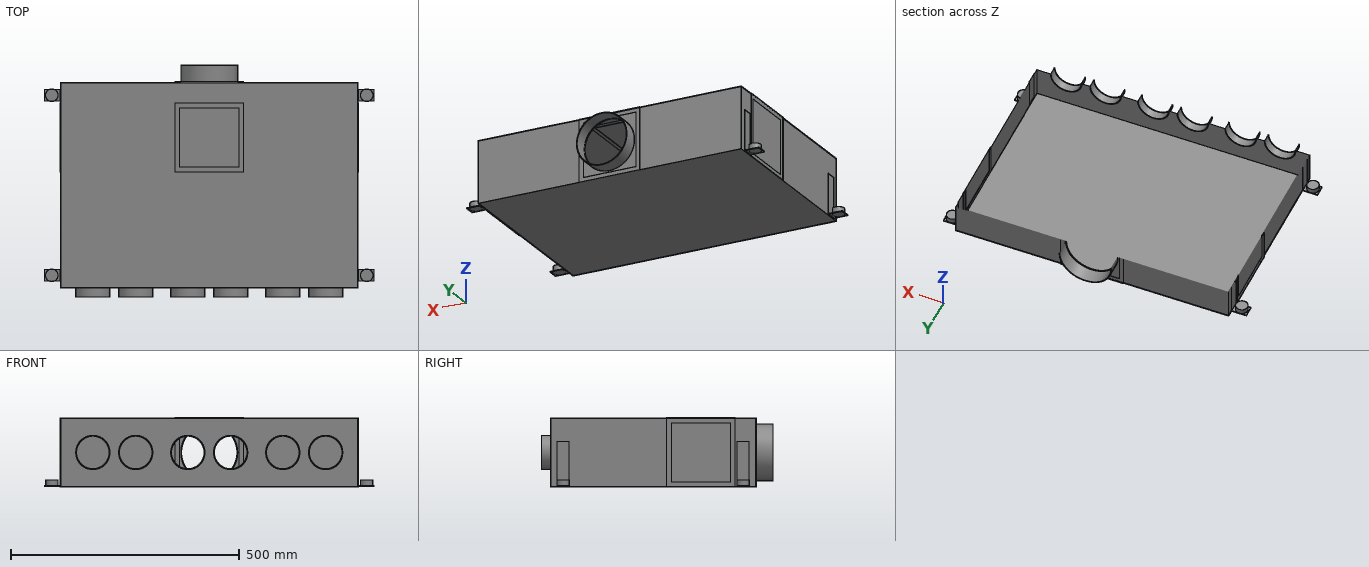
import cadquery as cq
TOTAL_WIDTH = 723.0
HOUSING_WIDTH = 651.5
HOUSING_DEPTH = 450.5
HOUSING_HEIGHT = 150.5
SHEET = 1.0
PORT_HEIGHT = HOUSING_HEIGHT / 2
SIDE_X = HOUSING_WIDTH / 2

PANEL_SIZE = HOUSING_HEIGHT
PANEL_THICKNESS = 1.5
OPENING_SIZE = 130.0
PANEL_FROM_BACK = 121.0
PANEL_Y = HOUSING_DEPTH - PANEL_FROM_BACK

TUBE_WALL = 1.9
DUCT_DIAMETER = 125.0
DUCT_BORE = DUCT_DIAMETER - 2 * TUBE_WALL
DUCT_LENGTH = 36.0

SPIGOT_DIAMETER = 75.0
SPIGOT_BORE = SPIGOT_DIAMETER - 2 * TUBE_WALL
SPIGOT_LENGTH = 20.0
PAIR_SPACING = 208.0
PITCH_IN_PAIR = 94.0
PAIR_COUNT = 3
SPIGOT_X = [
    (pair - (PAIR_COUNT - 1) / 2) * PAIR_SPACING + side * PITCH_IN_PAIR / 2
    for pair in range(PAIR_COUNT)
    for side in (-1, 1)
]

FOOT_WIDTH = 26.0
FOOT_HEIGHT = 98.0
FOOT_THICKNESS = 2.0
FOOT_REACH = (TOTAL_WIDTH - HOUSING_WIDTH) / 2
FOOT_BOTTOM = SHEET
FOOT_Y = [27.5, HOUSING_DEPTH - 28.0]
BUFFER_DIAMETER = 27.5
BUFFER_HEIGHT = 12.0
BUFFER_FROM_SIDE = 19.5


def block(size_x, size_y, size_z, centre):
    return cq.Workplane("XY").box(size_x, size_y, size_z).translate(centre)


def rod(diameter, x, y_start, y_end):
    """A cylinder along Y, at the height of the ports."""
    plane = cq.Plane(origin=(x, y_start, PORT_HEIGHT), xDir=(1, 0, 0), normal=(0, 1, 0))
    return cq.Workplane(plane).circle(diameter / 2).extrude(y_end - y_start)


def make_shell():
    """The closed box with an opening in its top, back, left and right walls."""
    centre = (0, HOUSING_DEPTH / 2, HOUSING_HEIGHT / 2)
    shell = block(HOUSING_WIDTH, HOUSING_DEPTH, HOUSING_HEIGHT, centre).cut(
        block(
            HOUSING_WIDTH - 2 * SHEET,
            HOUSING_DEPTH - 2 * SHEET,
            HOUSING_HEIGHT - 2 * SHEET,
            centre,
        )
    )
    through_sides = block(2 * HOUSING_WIDTH, OPENING_SIZE, OPENING_SIZE, (0, PANEL_Y, PORT_HEIGHT))
    through_top = block(OPENING_SIZE, OPENING_SIZE, 2 * SHEET, (0, PANEL_Y, HOUSING_HEIGHT))
    through_back = block(OPENING_SIZE, 2 * SHEET, OPENING_SIZE, (0, HOUSING_DEPTH, PORT_HEIGHT))
    return shell.cut(through_sides).cut(through_top).cut(through_back)


def add_panels(housing):
    """Blank panels on the top and both sides, and the panel that carries the duct on the back."""
    half = PANEL_THICKNESS / 2
    top_centre = (0, PANEL_Y, HOUSING_HEIGHT + half)
    back_centre = (0, HOUSING_DEPTH + half, PORT_HEIGHT)
    housing = housing.union(block(PANEL_SIZE, PANEL_SIZE, PANEL_THICKNESS, top_centre))
    housing = housing.union(block(PANEL_SIZE, PANEL_THICKNESS, PANEL_SIZE, back_centre))
    for side in (-1, 1):
        side_centre = (side * (SIDE_X + half), PANEL_Y, PORT_HEIGHT)
        housing = housing.union(block(PANEL_THICKNESS, PANEL_SIZE, PANEL_SIZE, side_centre))
    return housing


def add_duct(housing):
    panel_face = HOUSING_DEPTH + PANEL_THICKNESS
    duct_end = panel_face + DUCT_LENGTH
    housing = housing.union(rod(DUCT_DIAMETER, 0, panel_face, duct_end))
    return housing.cut(rod(DUCT_BORE, 0, HOUSING_DEPTH, duct_end))


def make_foot(side, y):
    """A foot on the left (side = -1) or right (side = 1) wall."""
    upright = block(
        SHEET,
        FOOT_WIDTH,
        FOOT_HEIGHT,
        (side * (SIDE_X + SHEET / 2), y, FOOT_BOTTOM + FOOT_HEIGHT / 2),
    )
    base = block(
        FOOT_REACH,
        FOOT_WIDTH,
        FOOT_THICKNESS,
        (side * (SIDE_X + FOOT_REACH / 2), y, FOOT_BOTTOM + FOOT_THICKNESS / 2),
    )
    buffer_base = (side * (SIDE_X + BUFFER_FROM_SIDE), y, FOOT_BOTTOM + FOOT_THICKNESS)
    rubber_buffer = (
        cq.Workplane("XY", origin=buffer_base).circle(BUFFER_DIAMETER / 2).extrude(BUFFER_HEIGHT)
    )
    return upright.union(base).union(rubber_buffer)


def make_housing():
    housing = add_duct(add_panels(make_shell()))
    for y in FOOT_Y:
        for side in (-1, 1):
            housing = housing.union(make_foot(side, y))
    for x in SPIGOT_X:
        housing = housing.cut(rod(SPIGOT_DIAMETER, x, 0, SHEET))
    return housing


def make_spigot(x):
    """A tube that fills its hole in the front wall and ends flush with the inner face."""
    tube = rod(SPIGOT_DIAMETER, x, -SPIGOT_LENGTH, SHEET)
    return tube.cut(rod(SPIGOT_BORE, x, -SPIGOT_LENGTH, SHEET))


housing = make_housing()
spigots = [make_spigot(x).val() for x in SPIGOT_X]

result = cq.Compound.makeCompound([housing.val(), *spigots])